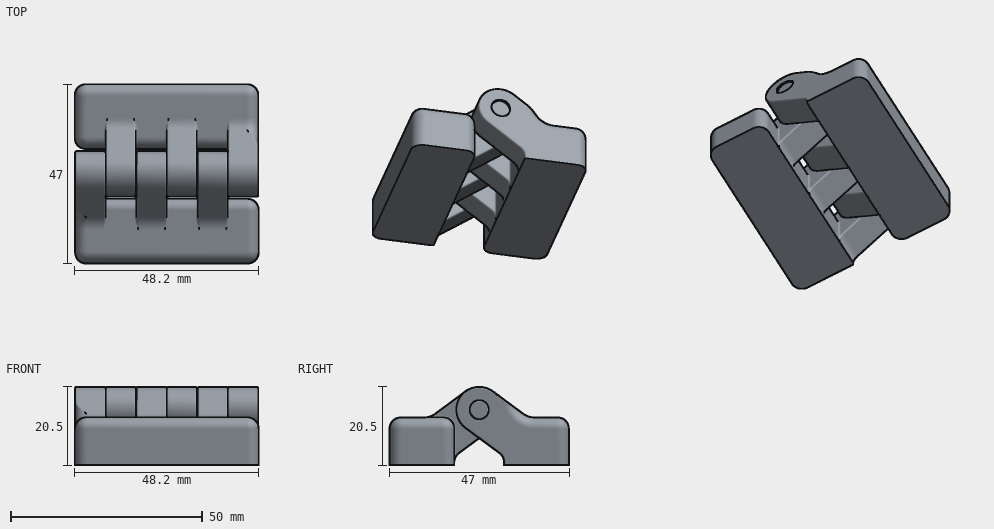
import cadquery as cq
import math


HINGE_LENGTH = 48.2
HINGE_DEPTH = 47.0
HINGE_HEIGHT = 20.5
LEAF_SHIFT = 0.1
LEAF_LENGTH = HINGE_LENGTH - LEAF_SHIFT

BLOCK_DEPTH = 17.0
BLOCK_HEIGHT = 12.5
BLOCK_ROUND = 3.0
HALF_DEPTH = HINGE_DEPTH / 2
BLOCK_FACE_Y = BLOCK_DEPTH - HALF_DEPTH
BLOCK_EDGE_Z = BLOCK_HEIGHT - BLOCK_ROUND

BARREL_DIAMETER = 12.0
BARREL_RADIUS = BARREL_DIAMETER / 2
AXIS_HEIGHT = HINGE_HEIGHT - BARREL_RADIUS
ARM_ANGLE = math.radians(36.5)
ARM_COMPLEMENT = math.pi / 2 - ARM_ANGLE
KNUCKLE_COUNT = 3
KNUCKLE_PITCH = 16.0
KNUCKLE_CLEARANCE = 0.1
END_KNUCKLE_WIDTH = KNUCKLE_PITCH / 2
KNUCKLE_WIDTH = END_KNUCKLE_WIDTH - KNUCKLE_CLEARANCE
ROOT_RADIUS = 5.0
UNDER_RADIUS = 3.0
EDGE_ROUND = 0.5

PIN_DIAMETER = 5.0
PIN_END_DIAMETER = 4.15
PIN_ROUND = (PIN_DIAMETER - PIN_END_DIAMETER) / 2
PIN_RECESS = 0.2

ARM_TOP_Y = -BARREL_RADIUS * math.sin(ARM_ANGLE)
ARM_TOP_Z = AXIS_HEIGHT + BARREL_RADIUS * math.cos(ARM_ANGLE)
ARM_FOOT_Y = ARM_TOP_Y - (ARM_TOP_Z - BLOCK_HEIGHT) / math.tan(ARM_ANGLE)
ROOT_Y = ARM_FOOT_Y - ROOT_RADIUS * math.tan(ARM_ANGLE / 2)
ROOT_Z = BLOCK_HEIGHT + ROOT_RADIUS
ARM_BOTTOM_Z = (
    AXIS_HEIGHT - BARREL_RADIUS / math.cos(ARM_ANGLE) + BLOCK_FACE_Y * math.tan(ARM_ANGLE)
)
UNDER_Y = BLOCK_FACE_Y + UNDER_RADIUS
UNDER_Z = ARM_BOTTOM_Z - UNDER_RADIUS * math.tan(ARM_COMPLEMENT / 2)

TOLERANCE = 4.82e-05


def polar(center_y, center_z, radius, angle):
    """Point on a circle in the YZ plane, angle measured from +Y towards +Z."""
    return (center_y + radius * math.cos(angle), center_z + radius * math.sin(angle))


def edges_at(body, x):
    """Edges that lie in the plane at the given X, each with its bounding box."""
    boxed = [(edge, edge.BoundingBox()) for edge in body.edges().vals()]
    return [
        (edge, box)
        for edge, box in boxed
        if abs(box.xmin - x) < TOLERANCE and abs(box.xmax - x) < TOLERANCE
    ]


def leaf_block():
    """Plain block of a leaf, rounded everywhere except at the base."""
    return (
        cq.Workplane("XY", origin=(0, -HALF_DEPTH, 0))
        .box(LEAF_LENGTH, BLOCK_DEPTH, BLOCK_HEIGHT, centered=False)
        .edges("|Z or >Z")
        .fillet(BLOCK_ROUND)
    )


def knuckle(x_start, x_end):
    """Barrel with its sloping arm, carried down to the base inside the block."""
    arm_side = math.pi / 2 + ARM_ANGLE
    outline = (
        cq.Workplane("YZ", origin=(x_start, 0, 0))
        .moveTo(ROOT_Y, 0)
        .lineTo(BLOCK_FACE_Y, 0)
        .lineTo(BLOCK_FACE_Y, UNDER_Z)
        .threePointArc(
            polar(UNDER_Y, UNDER_Z, UNDER_RADIUS, math.pi - ARM_COMPLEMENT / 2),
            polar(UNDER_Y, UNDER_Z, UNDER_RADIUS, arm_side),
        )
        .lineTo(*polar(0, AXIS_HEIGHT, BARREL_RADIUS, arm_side - math.pi))
        .threePointArc(
            polar(0, AXIS_HEIGHT, BARREL_RADIUS, ARM_ANGLE),
            polar(0, AXIS_HEIGHT, BARREL_RADIUS, arm_side),
        )
        .lineTo(*polar(ROOT_Y, ROOT_Z, ROOT_RADIUS, arm_side - math.pi))
        .threePointArc(
            polar(ROOT_Y, ROOT_Z, ROOT_RADIUS, (ARM_ANGLE - math.pi) / 2),
            (ROOT_Y, BLOCK_HEIGHT),
        )
        .close()
    )
    return outline.extrude(x_end - x_start)


def round_sides(body, side_planes):
    """Round the outline of a knuckle on its side faces, leaving its buried edges sharp."""
    outline = [
        edge
        for x in side_planes
        for edge, box in edges_at(body, x)
        if box.zmax > TOLERANCE and box.ymin > ROOT_Y - TOLERANCE and box.ylen > TOLERANCE
    ]
    return body.newObject(outline).fillet(EDGE_ROUND)


def end_round_cutter():
    """Ring that carries the round of the block's end edge up the root of the end knuckle."""
    outside = -EDGE_ROUND
    mid = BLOCK_ROUND * (1 - math.sqrt(0.5))
    return (
        cq.Workplane("XY")
        .moveTo(outside, 0)
        .lineTo(outside, ROOT_RADIUS + BLOCK_ROUND)
        .lineTo(0, ROOT_RADIUS + BLOCK_ROUND)
        .threePointArc((mid, ROOT_RADIUS + mid), (BLOCK_ROUND, ROOT_RADIUS))
        .lineTo(BLOCK_ROUND, 0)
        .close()
        .revolve(360, (0, 0, 0), (1, 0, 0))
        .translate((0, ROOT_Y, ROOT_Z))
    )


def fill_corner(body, x):
    """Hollow round where a knuckle side rises from the block top and its rounded edge."""
    corner = [
        edge
        for edge, box in edges_at(body, x)
        if abs(box.zmax - BLOCK_HEIGHT) < TOLERANCE and box.zmin > BLOCK_EDGE_Z - TOLERANCE
    ]
    return body.newObject(corner).fillet(EDGE_ROUND)


def leaf():
    """One leaf: block, end knuckle flush with its end, and the spaced inner knuckles."""
    body = leaf_block()
    inner_sides = [END_KNUCKLE_WIDTH]
    end_knuckle = knuckle(0, END_KNUCKLE_WIDTH)
    body = body.union(round_sides(end_knuckle, inner_sides))
    for index in range(1, KNUCKLE_COUNT):
        x_end = index * KNUCKLE_PITCH + END_KNUCKLE_WIDTH
        x_start = x_end - KNUCKLE_WIDTH
        inner_knuckle = knuckle(x_start, x_end)
        body = body.union(round_sides(inner_knuckle, [x_start, x_end]))
        inner_sides += [x_start, x_end]
    body = body.cut(end_round_cutter())
    for x in inner_sides:
        body = fill_corner(body, x)
    outer_arc = cq.selectors.NearestToPointSelector((0, 0, HINGE_HEIGHT))
    return body.edges(outer_arc).fillet(EDGE_ROUND)


def axis_cylinder(x_start, x_end):
    """Cylinder of the pin diameter on the hinge axis."""
    return (
        cq.Workplane("YZ", origin=(x_start, 0, AXIS_HEIGHT))
        .circle(PIN_DIAMETER / 2)
        .extrude(x_end - x_start)
    )


front_leaf = leaf().translate((LEAF_SHIFT, 0, 0))
middle = HINGE_LENGTH / 2
back_leaf = front_leaf.rotate((middle, 0, 0), (middle, 0, 1), 180)
bore = axis_cylinder(0, HINGE_LENGTH)
pin_start = LEAF_SHIFT + PIN_RECESS
pin = axis_cylinder(pin_start, HINGE_LENGTH - pin_start).faces("<X or >X").edges().fillet(PIN_ROUND)

result = front_leaf.union(back_leaf).cut(bore).union(pin)